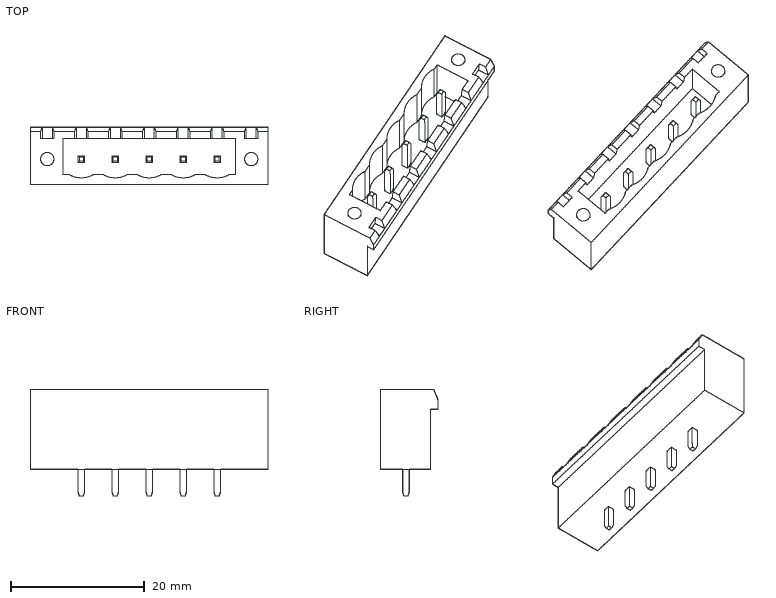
import cadquery as cq


length = 35.55
height = 12.0
front_y = -3.8
back_y = 3.7

lip_overhang = 1.1
lip_height = 3.0
lip_chamfer_depth = 0.65
lip_chamfer_height = 1.5
lip_y = back_y + lip_overhang

pin_count = 5
pitch = 5.1
pin_size = 1.0
pin_tip_size = 0.6
pin_tip_length = 0.6
pin_bottom_z = -4.02
pin_top_z = 10.0

cavity_length = 25.8
cavity_depth = 8.55
cavity_front_y = -2.28
cavity_back_y = 3.1
scallop_width = 3.77
scallop_depth = 0.55

notch_top_width = 2.0
notch_bottom_width = 1.5
notch_depth = lip_chamfer_height

screw_hole_diameter = 2.0
screw_hole_depth = cavity_depth


def row_positions(count):
    """X places of a centred row of features one pitch apart."""
    return [(i - (count - 1) / 2) * pitch for i in range(count)]


pin_positions = row_positions(pin_count)
flange_positions = row_positions(pin_count + 2)


def make_housing():
    """Block with the lip, as a profile in the YZ plane run along X."""
    profile = [
        (front_y, 0),
        (back_y, 0),
        (back_y, height - lip_height),
        (lip_y, height - lip_height),
        (lip_y, height - lip_chamfer_height),
        (lip_y - lip_chamfer_depth, height),
        (front_y, height),
    ]
    return cq.Workplane("YZ").polyline(profile).close().extrude(length / 2, both=True)


def make_cavity():
    """Open-topped pocket around the pins."""
    half_length = cavity_length / 2
    outline = (
        cq.Workplane("XY", origin=(0, 0, height - cavity_depth))
        .moveTo(-half_length, cavity_back_y)
        .lineTo(-half_length, cavity_front_y)
    )
    for x in pin_positions:
        outline = outline.lineTo(x - scallop_width / 2, cavity_front_y).threePointArc(
            (x, cavity_front_y - scallop_depth),
            (x + scallop_width / 2, cavity_front_y),
        )
    outline = outline.lineTo(half_length, cavity_front_y).lineTo(half_length, cavity_back_y)
    return outline.close().extrude(cavity_depth)


def make_notch(x):
    """Tapered notch from the cavity's back plane out through the lip."""
    section = [
        (x - notch_top_width / 2, height),
        (x + notch_top_width / 2, height),
        (x + notch_bottom_width / 2, height - notch_depth),
        (x - notch_bottom_width / 2, height - notch_depth),
    ]
    return (
        cq.Workplane("XZ", origin=(0, cavity_back_y, 0))
        .polyline(section)
        .close()
        .extrude(cavity_back_y - lip_y)
    )


def make_pin(x):
    """Square pin with a tapered tip at both ends."""
    shank_bottom_z = pin_bottom_z + pin_tip_length
    shank_top_z = pin_top_z - pin_tip_length
    pin = (
        cq.Workplane("XY", origin=(x, 0, shank_bottom_z))
        .rect(pin_size, pin_size)
        .extrude(shank_top_z - shank_bottom_z)
    )
    for face in ("<Z", ">Z"):
        pin = (
            pin.faces(face)
            .workplane()
            .rect(pin_size, pin_size)
            .workplane(offset=pin_tip_length)
            .rect(pin_tip_size, pin_tip_size)
            .loft(combine=True)
        )
    return pin


result = make_housing().cut(make_cavity())

for x in flange_positions:
    result = result.cut(make_notch(x))

screw_holes = (
    cq.Workplane("XY", origin=(0, 0, height))
    .pushPoints([(flange_positions[0], 0), (flange_positions[-1], 0)])
    .circle(screw_hole_diameter / 2)
    .extrude(-screw_hole_depth)
)
result = result.cut(screw_holes)

for x in pin_positions:
    result = result.union(make_pin(x))